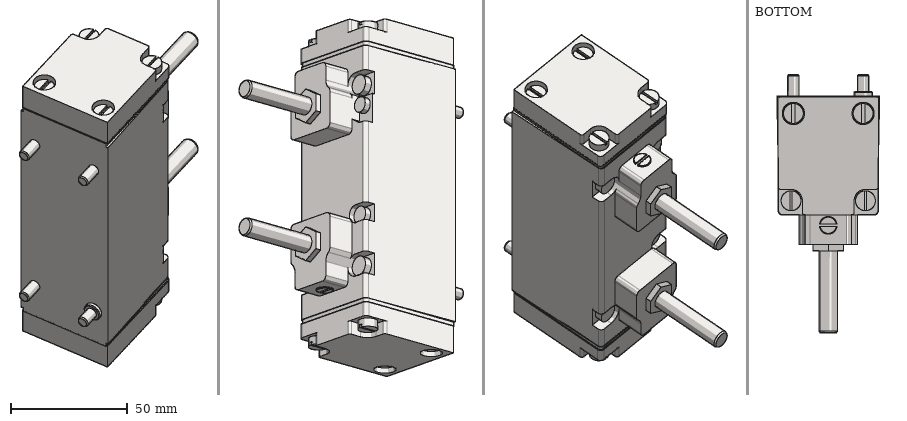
import cadquery as cq
import math

total_height = 142.0
back_y = 51.0
back_edge_radius = 1.8

body_front_width = 44.0
body_back_width = 42.0
body_height = 113.9
gasket_thickness = 1.8
gasket_back_y = 50.5
gasket_width = 41.9
cap_width = 42.9
cap_front_y = 0.5
cap_bottom_z = body_height / 2 + gasket_thickness

cap_screw_diameter = 8.5
cap_seat_depth = 5.8
cap_head_height = 3.7
cap_slot_depth = 1.3
corner_screw_x = 15.9
corner_screw_y = 44.9
corner_slot_width = 1.0
notch_radius = 4.8
notch_edge_radius = 1.1
front_screw_x = 14.9
front_screw_y = 7.5
front_hole_diameter = 9.5
front_slot_width = 1.4

mount_x = 14.9
mount_z = 40.9
pin_diameter = 5.0
pin_tip_diameter = 4.1
pin_length = 9.1
pin_tip_length = 0.5
collar_diameter = 8.0
collar_height = 1.8
collar_chamfer = 0.4
mount_pocket_radius = 5.0
mount_head_diameter = 8.5
pocket_floor_y = 45.7
mount_head_top_y = 49.1

small_pocket_z = -17.8
small_pocket_diameter = 8.0
small_head_diameter = 7.5
small_head_top_y = 48.5
side_notch_floor_y = 46.7
side_notch_inner_z = 25.4
side_notch_outer_z = 22.7
side_notch_ramp_x = -17.2
stud_diameter = 7.0
stud_z = 31.5
stud_top_y = 49.5

block_width = 25.1
block_near_z = 19.0
block_far_z = 49.3
block_back_y = 63.6
block_corner_radius = 2.1
block_shoulder_radius = 2.8
block_screw_diameter = 7.5
block_screw_y = 55.4
block_screw_height = 0.5
block_screw_chamfer = 0.3
block_slot_width = 1.1
cable_z = 31.1
nut_across_flats = 13.2
nut_back_y = 66.3
cable_diameter = 8.0
cable_tip_y = 101.4
cable_tip_chamfer = 0.9
cable_tip_inset = 0.4

SIDES = (-1, 1)


def box(x_range, y_range, z_range):
    """Box between pairs of X, Y and Z limits."""
    lows = [min(pair) for pair in (x_range, y_range, z_range)]
    sizes = [abs(pair[1] - pair[0]) for pair in (x_range, y_range, z_range)]
    return cq.Workplane("XY").box(*sizes, centered=False).translate(tuple(lows))


def cylinder_y(x, z, diameter, y_start, y_end):
    """Cylinder along +Y from y_start to y_end."""
    start = cq.Vector(x, y_start, z)
    return cq.Workplane(cq.Solid.makeCylinder(diameter / 2, y_end - y_start, start, cq.Vector(0, 1, 0)))


def cylinder_z(x, y, diameter, z_start, z_end):
    """Cylinder along +Z from z_start to z_end."""
    start = cq.Vector(x, y, z_start)
    return cq.Workplane(cq.Solid.makeCylinder(diameter / 2, z_end - z_start, start))


def slotted_head_z(x, y, slot_width):
    """Cap screw head on its seat, with a driver slot along Y."""
    seat_z = total_height / 2 - cap_seat_depth
    top_z = seat_z + cap_head_height
    head = cylinder_z(x, y, cap_screw_diameter, seat_z, top_z)
    slot = cq.Workplane("XY").box(slot_width, cap_screw_diameter, 2 * cap_slot_depth)
    return head.cut(slot.translate((x, y, top_z)))


def make_body():
    """Body tapering towards the back, with rounded back edges."""
    half_front = body_front_width / 2
    half_back = body_back_width / 2
    outline = [(-half_front, 0), (half_front, 0), (half_back, back_y), (-half_back, back_y)]
    body = cq.Workplane("XY").polyline(outline).close().extrude(body_height / 2, both=True)
    return body.edges("|Z and >Y").fillet(back_edge_radius)


def make_cap():
    """Top end cap on its gasket, with two corner screws and two sunk screws."""
    half_width = cap_width / 2
    top_z = total_height / 2
    seat_z = top_z - cap_seat_depth

    half_gasket = gasket_width / 2
    gasket = box((-half_gasket, half_gasket), (0, gasket_back_y), (body_height / 2, cap_bottom_z))
    gasket = gasket.edges("|Z and >Y").fillet(back_edge_radius)
    lower = box((-half_width, half_width), (cap_front_y, back_y), (cap_bottom_z, seat_z))
    lower = lower.edges("|Z and >Y").fillet(back_edge_radius)

    notch_x = corner_screw_x - notch_radius
    notch_y = corner_screw_y - notch_radius
    upper = box((-half_width, half_width), (cap_front_y, back_y), (seat_z, top_z))
    for side in SIDES:
        notch = box((side * notch_x, side * cap_width), (notch_y, 2 * back_y), (seat_z, top_z))
        inner_edge = "|Z and <Y and " + ("<X" if side > 0 else ">X")
        upper = upper.cut(notch.edges(inner_edge).fillet(notch_radius))
    upper = upper.edges("|Z and >Y").fillet(notch_edge_radius)
    notch_ends = cq.selectors.BoxSelector(
        (-cap_width, notch_y - notch_edge_radius, seat_z),
        (cap_width, notch_y + notch_edge_radius, top_z),
    )
    upper = upper.edges(notch_ends).edges("|Z").edges("<X or >X").fillet(notch_edge_radius)

    cap = lower.union(upper)
    for side in SIDES:
        x = side * front_screw_x
        cap = cap.cut(cylinder_z(x, front_screw_y, front_hole_diameter, seat_z, top_z))
        cap = cap.union(slotted_head_z(x, front_screw_y, front_slot_width))
        x = side * corner_screw_x
        cap = cap.union(slotted_head_z(x, corner_screw_y, corner_slot_width))
    return cap.union(gasket)


def make_side_pocket(side, x, z, diameter):
    """Round pocket in the back face, opening through the side of the body."""
    round_end = cylinder_y(x, z, diameter, pocket_floor_y, back_y)
    half = diameter / 2
    opening = box((x, side * body_front_width), (pocket_floor_y, back_y), (z - half, z + half))
    return round_end.union(opening)


def make_side_notch():
    """Notch in the -X back edge, ending in a ramp and running into the mounting pocket."""
    inner_x = -block_width / 2
    outline = [
        (inner_x, side_notch_inner_z),
        (side_notch_ramp_x, side_notch_outer_z),
        (-body_front_width, side_notch_outer_z),
        (-body_front_width, mount_z),
        (inner_x, mount_z),
    ]
    back_plane = cq.Workplane("XZ", origin=(0, back_y, 0))
    return back_plane.polyline(outline).close().extrude(back_y - side_notch_floor_y)


def make_pin(x, z):
    """Pin standing out of the front face, with a chamfered tip."""
    pin = cylinder_y(x, z, pin_diameter, -pin_length, 0)
    return pin.faces("<Y").chamfer(pin_tip_length, (pin_diameter - pin_tip_diameter) / 2)


def make_block():
    """Upper cable block with its end screw, hexagonal nut and cable."""
    half_width = block_width / 2
    half_tip = mount_x - mount_pocket_radius
    y_range = (back_y, block_back_y)
    wide = box((-half_width, half_width), y_range, (block_near_z, mount_z))
    tip = box((-half_tip, half_tip), y_range, (mount_z, block_far_z))
    for side in SIDES:
        wide = wide.cut(cylinder_y(side * mount_x, mount_z, 2 * mount_pocket_radius, *y_range))
    wide = wide.edges("|Y and <Z").fillet(block_corner_radius)
    shoulder_zone = cq.selectors.BoxSelector(
        (-block_width, back_y, cable_z), (block_width, block_back_y, mount_z - mount_pocket_radius / 2)
    )
    wide = wide.edges(shoulder_zone).edges("|Y").edges("<X or >X").fillet(block_shoulder_radius)
    block = wide.union(tip.edges("|Y and >Z").fillet(block_corner_radius))

    screw_top_z = block_far_z + block_screw_height
    screw = cylinder_z(0, block_screw_y, block_screw_diameter, block_far_z, screw_top_z)
    screw = screw.faces(">Z").chamfer(block_screw_chamfer)
    slot = cq.Workplane("XY").box(block_screw_diameter, block_slot_width, 2 * block_screw_height)
    screw = screw.cut(slot.translate((0, block_screw_y, screw_top_z)))

    corner_diameter = nut_across_flats / math.cos(math.pi / 6)
    nut = (
        cq.Workplane("XZ", origin=(0, nut_back_y, cable_z))
        .transformed(rotate=(0, 0, 90))
        .polygon(6, corner_diameter)
        .extrude(nut_back_y - block_back_y)
    )
    cable = cylinder_y(0, cable_z, cable_diameter, block_back_y, cable_tip_y)
    cable = cable.faces(">Y").chamfer(cable_tip_chamfer, cable_tip_inset)
    return block.union(screw).union(nut).union(cable)


result = make_body().cut(make_side_notch())

for side in SIDES:
    for level in SIDES:
        x = side * mount_x
        z = level * mount_z
        result = result.cut(make_side_pocket(side, x, z, 2 * mount_pocket_radius))
        result = result.union(cylinder_y(x, z, mount_head_diameter, pocket_floor_y, mount_head_top_y))
        result = result.union(make_pin(x, z))
result = result.cut(make_side_pocket(-1, -mount_x, small_pocket_z, small_pocket_diameter))
result = result.union(
    cylinder_y(-mount_x, small_pocket_z, small_head_diameter, pocket_floor_y, small_head_top_y)
)
stud_x = -(block_width + stud_diameter) / 2
result = result.union(cylinder_y(stud_x, stud_z, stud_diameter, side_notch_floor_y, stud_top_y))

collar = cylinder_y(mount_x, -mount_z, collar_diameter, -collar_height, 0)
result = result.union(collar.faces("<Y").chamfer(collar_chamfer))

for end in (make_cap(), make_block()):
    result = result.union(end).union(end.mirror("XY"))